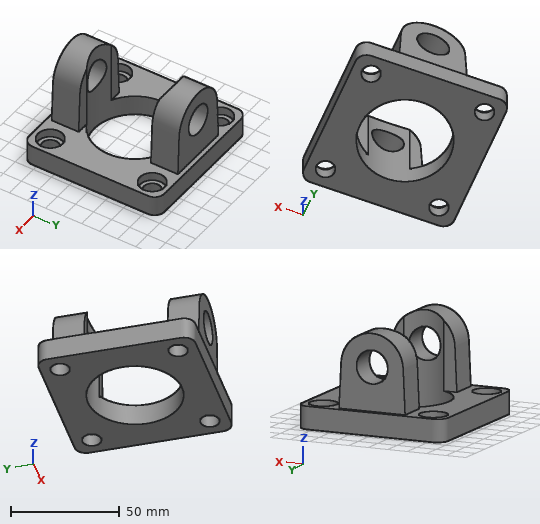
import cadquery as cq
import math

plate_side = 75.0
plate_height = 11.0
corner_radius = 5.5
bore_diameter = 45.0

bolt_spacing = 56.5
bolt_diameter = 9.0
counterbore_diameter = 13.5
counterbore_depth = 4.5

total_height = 48.0
lug_radius = 16.0
lug_base_width = 33.9
lug_inner_gap = 40.0
lug_outer_span = 70.0
pin_diameter = 16.0
pin_height = total_height - lug_radius


def make_plate():
    plate = cq.Workplane("XY").box(plate_side, plate_side, plate_height, centered=(True, True, False))
    return plate.edges("|Z").fillet(corner_radius)


def make_lugs():
    """Both lugs: straight flanks running tangentially into a round top."""
    half_base = lug_base_width / 2
    rise = pin_height - plate_height
    base_distance = math.hypot(half_base, rise)
    tangent_angle = math.acos(lug_radius / base_distance) - math.atan2(rise, half_base)
    tangent_x = lug_radius * math.cos(tangent_angle)
    tangent_z = pin_height + lug_radius * math.sin(tangent_angle)

    block = (
        cq.Workplane("XZ")
        .moveTo(-half_base, plate_height)
        .lineTo(half_base, plate_height)
        .lineTo(tangent_x, tangent_z)
        .threePointArc((0, total_height), (-tangent_x, tangent_z))
        .close()
        .extrude(lug_outer_span / 2, both=True)
    )
    gap = cq.Workplane("XY").box(plate_side, lug_inner_gap, total_height, centered=(True, True, False))
    return block.cut(gap)


def cut_bolt_holes(body):
    return (
        body.faces(">Z")
        .workplane(origin=(0, 0, 0))
        .rect(bolt_spacing, bolt_spacing, forConstruction=True)
        .vertices()
        .cboreHole(bolt_diameter, counterbore_diameter, counterbore_depth)
    )


body = cut_bolt_holes(make_plate()).union(make_lugs())

bore = cq.Workplane("XY").circle(bore_diameter / 2).extrude(total_height)
pin_hole = (
    cq.Workplane("XZ")
    .center(0, pin_height)
    .circle(pin_diameter / 2)
    .extrude(plate_side / 2, both=True)
)
result = body.cut(bore).cut(pin_hole)